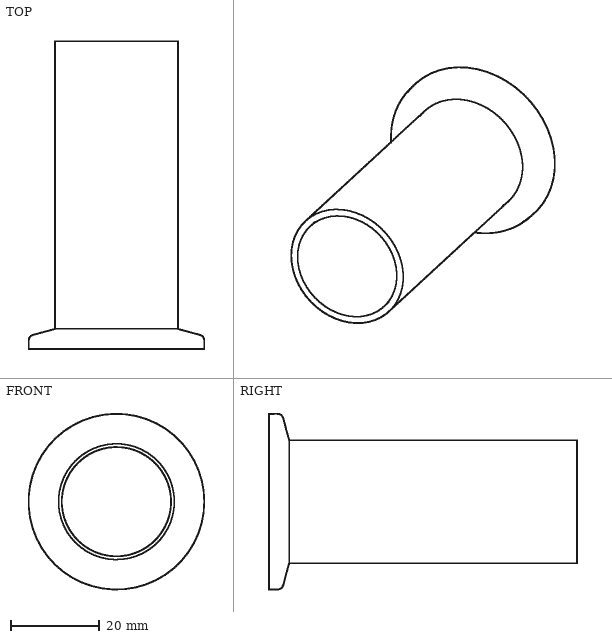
import cadquery as cq
import math

length = 70.0
flange_radius = 40.0 / 2
tube_radius = 14.0
bore_radius = 12.4
recess_radius = 13.15
recess_depth = 2.8

flange_thickness = 4.6
back_slope = 15.0
rim_round = 1.4

slope_drop = (flange_radius - tube_radius) * math.tan(math.radians(back_slope))
rim_height = flange_thickness - slope_drop


outer_section = (
    cq.Workplane("XY")
    .lineTo(flange_radius, 0)
    .lineTo(flange_radius, rim_height)
    .lineTo(tube_radius, flange_thickness)
    .lineTo(tube_radius, length)
    .lineTo(0, length)
    .close()
)
body = outer_section.revolve(360, (0, 0, 0), (0, 1, 0))

rim_corner = cq.NearestToPointSelector((0, rim_height, 0))
body = body.edges(rim_corner).fillet(rim_round)


def cylinder_along_y(radius, depth):
    """Cylinder on the Y axis, from the flange face inward."""
    return cq.Workplane("XZ").circle(radius).extrude(-depth)


bore = cylinder_along_y(bore_radius, length)
recess = cylinder_along_y(recess_radius, recess_depth)
result = body.cut(bore).cut(recess)